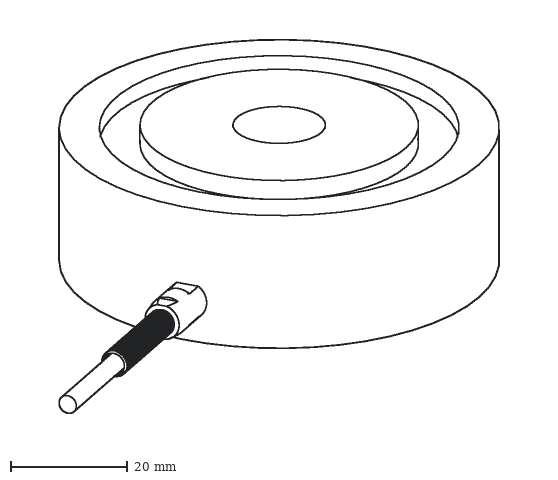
import cadquery as cq

body_diameter = 75.69
body_radius = body_diameter / 2
total_height = 25.4
button_rise = 0.5
body_height = total_height - button_rise
bore_diameter = 15.88

button_diameter = 47.85
groove_outer_diameter = 61.82
groove_depth = 3.05

total_length = 125.18
axis_height = 7.62
cable_diameter = 3.3
cable_end = total_length - body_diameter

barrel_diameter = 7.06
nose_end_diameter = 6.45
rear_flat_separation = 5.79
front_flat_separation = 6.2
rear_flat_end = 3.6
front_flat_start = 7.8
barrel_end = 8.15
nose_end = 10.52
fitting_embed = 3.0

spring_diameter = 4.76
spring_bore_diameter = 3.94
ring_pitch = 0.4318
ring_count = 46
ring_radius = ring_pitch / 2
spring_end = nose_end + ring_count * ring_pitch


def exit_plane(distance):
    """Plane across the cable axis, facing outward, at a distance from the body."""
    return cq.Plane(
        origin=(0, -body_radius - distance, axis_height),
        xDir=(1, 0, 0),
        normal=(0, -1, 0),
    )


def make_cable():
    """Plain round cable running out from the body."""
    return cq.Workplane(exit_plane(0)).circle(cable_diameter / 2).extrude(cable_end)


def axis_profile_plane():
    """Plane for revolved profiles: local x is the radius, local y the distance outward."""
    return cq.Plane(
        origin=(0, -body_radius, axis_height),
        xDir=(1, 0, 0),
        normal=(0, 0, -1),
    )


def revolve_on_axis(profile):
    """Close a profile drawn on the axis profile plane and revolve it about the cable axis."""
    return profile.close().revolve(360, (0, 0, 0), (0, 1, 0))


def make_body():
    """Disc with an annular groove, a raised loading button and a through bore."""
    body = cq.Workplane("XY").circle(body_radius).extrude(body_height)
    groove = (
        cq.Workplane("XY", origin=(0, 0, body_height - groove_depth))
        .circle(groove_outer_diameter / 2)
        .extrude(groove_depth)
    )
    button = cq.Workplane("XY").circle(button_diameter / 2).extrude(total_height)
    bore = cq.Workplane("XY").circle(bore_diameter / 2).extrude(total_height)
    return body.cut(groove).union(button).cut(bore)


def flat_cutters(separation, start, end):
    """Pair of blocks that trim the fitting to a pair of flats, above and below."""
    return (
        cq.Workplane(exit_plane(start))
        .rect(2 * barrel_diameter, 2 * barrel_diameter)
        .rect(2 * barrel_diameter, separation)
        .extrude(end - start)
    )


def make_fitting():
    """Barrel and tapered nose, flattened next to the body and at the nose."""
    profile = (
        cq.Workplane(axis_profile_plane())
        .moveTo(0, -fitting_embed)
        .lineTo(barrel_diameter / 2, -fitting_embed)
        .lineTo(barrel_diameter / 2, barrel_end)
        .lineTo(nose_end_diameter / 2, nose_end)
        .lineTo(0, nose_end)
    )
    fitting = revolve_on_axis(profile)
    fitting = fitting.cut(flat_cutters(rear_flat_separation, -fitting_embed, rear_flat_end))
    return fitting.cut(flat_cutters(front_flat_separation, front_flat_start, nose_end))


def make_spring():
    """Sleeve whose outside is a row of half-round rings."""
    valley_radius = spring_diameter / 2 - ring_radius
    bore_radius = spring_bore_diameter / 2
    profile = (
        cq.Workplane(axis_profile_plane())
        .moveTo(bore_radius, nose_end)
        .lineTo(valley_radius, nose_end)
    )
    for ring in range(ring_count):
        ring_start = nose_end + ring * ring_pitch
        profile = profile.threePointArc(
            (spring_diameter / 2, ring_start + ring_radius),
            (valley_radius, ring_start + ring_pitch),
        )
    return revolve_on_axis(profile.lineTo(bore_radius, spring_end))


result = make_body().union(make_fitting()).union(make_cable()).union(make_spring())